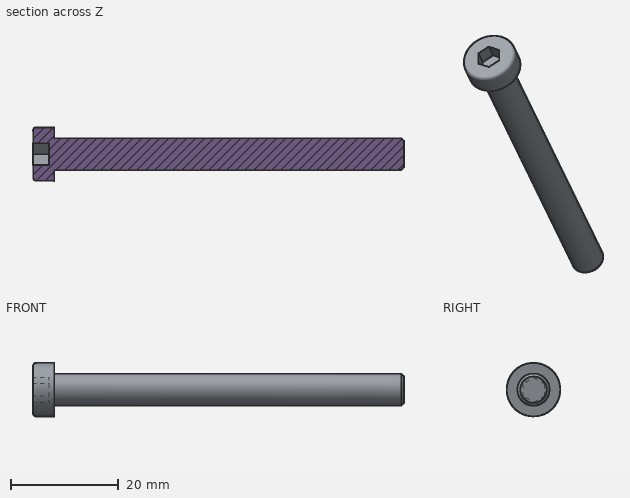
import cadquery as cq
import math

total_length = 69.0
head_diameter = 10.0
head_height = 4.0
head_edge_radius = 0.6
shank_diameter = 6.0
tip_chamfer = 0.55
socket_across_flats = 4.0
socket_depth = 3.0

shank_length = total_length - head_height
socket_across_corners = socket_across_flats / math.cos(math.pi / 6)
head_face_x = -total_length / 2


def yz_plane(x):
    """Plane normal to +X, on the screw axis at the given position."""
    return cq.Workplane("YZ", origin=(x, 0, 0))


head = (
    yz_plane(head_face_x)
    .circle(head_diameter / 2)
    .extrude(head_height)
    .faces("<X")
    .edges()
    .fillet(head_edge_radius)
)

shank = (
    yz_plane(head_face_x + head_height)
    .circle(shank_diameter / 2)
    .extrude(shank_length)
    .faces(">X")
    .edges()
    .chamfer(tip_chamfer)
)

socket = (
    yz_plane(head_face_x)
    .transformed(rotate=(0, 0, 90))
    .polygon(6, socket_across_corners)
    .extrude(socket_depth)
)

result = head.union(shank).cut(socket)